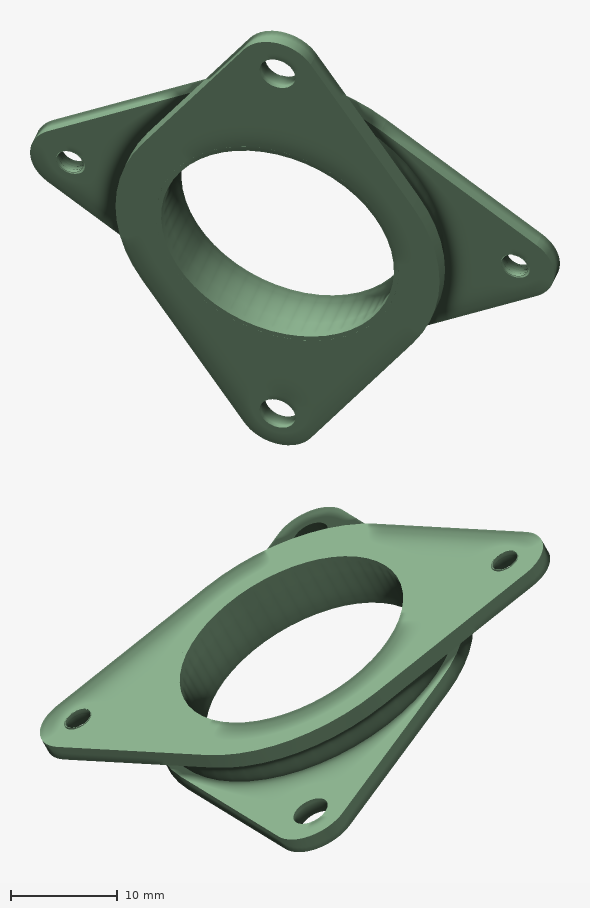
import cadquery as cq
import math

overall_span = 51.85
overall_depth = 5.9
flange_thickness = 1.6
spacer_length = overall_depth - 2 * flange_thickness
front_face_y = -overall_depth / 2
back_flange_y = overall_depth / 2 - flange_thickness

flange_disc_radius = 16.0
ear_hole_offset = 22.0
ear_radius = overall_span / 2 - ear_hole_offset

bore_diameter = 23.0
spigot_diameter = 24.0
spacer_diameter = 30.0

clearance_hole_diameter = 3.5
thread_minor_diameter = 2.7
thread_major_diameter = 3.1
thread_pitch = 0.5
thread_mouth_overlap = 0.05
thread_groove_width = 0.45
thread_start_angle = 40.0


def cylinder(diameter, start_y, length, x=0.0):
    """A cylinder along +Y that starts at start_y."""
    solid = cq.Solid.makeCylinder(
        diameter / 2, length, cq.Vector(x, start_y, 0), cq.Vector(0, 1, 0)
    )
    return cq.Workplane(obj=solid)


def flange_blank(start_y):
    """Flange with ears on the X axis and a seat for the hub spigot."""
    tangent_cos = (flange_disc_radius - ear_radius) / ear_hole_offset
    tangent_sin = math.sqrt(1 - tangent_cos**2)
    disc_x = flange_disc_radius * tangent_cos
    disc_z = flange_disc_radius * tangent_sin
    ear_x = ear_hole_offset + ear_radius * tangent_cos
    ear_z = ear_radius * tangent_sin
    tip_x = overall_span / 2

    blank = (
        cq.Workplane("XZ", origin=(0, start_y, 0))
        .moveTo(disc_x, disc_z)
        .lineTo(ear_x, ear_z)
        .threePointArc((tip_x, 0), (ear_x, -ear_z))
        .lineTo(disc_x, -disc_z)
        .threePointArc((0, -flange_disc_radius), (-disc_x, -disc_z))
        .lineTo(-ear_x, -ear_z)
        .threePointArc((-tip_x, 0), (-ear_x, ear_z))
        .lineTo(-disc_x, disc_z)
        .threePointArc((0, flange_disc_radius), (disc_x, disc_z))
        .close()
        .extrude(-flange_thickness)
    )
    return blank.cut(cylinder(spigot_diameter, start_y, flange_thickness))


def thread_groove(x, start_y):
    """Helical V groove, one pitch longer than the flange at each end."""
    mouth_radius = thread_minor_diameter / 2 - thread_mouth_overlap
    bottom_radius = thread_major_diameter / 2
    half_width = thread_groove_width / 2
    length = flange_thickness + 2 * thread_pitch
    path = cq.Wire.makeHelix(thread_pitch, length, mouth_radius)
    groove = (
        cq.Workplane("XZ")
        .polyline([(mouth_radius, -half_width), (bottom_radius, 0), (mouth_radius, half_width)])
        .close()
        .sweep(cq.Workplane(obj=path), isFrenet=True)
    )
    groove = groove.rotate((0, 0, 0), (1, 0, 0), -90)
    groove = groove.rotate((0, 0, 0), (0, 1, 0), thread_start_angle)
    return groove.translate((x, start_y - thread_pitch, 0))


def make_clearance_flange():
    """Front flange: plain holes, ears turned to point along Z."""
    flange = flange_blank(front_face_y)
    for x in (-ear_hole_offset, ear_hole_offset):
        flange = flange.cut(cylinder(clearance_hole_diameter, front_face_y, flange_thickness, x))
    return flange.rotate((0, 0, 0), (0, 1, 0), 90)


def make_threaded_flange():
    """Back flange: threaded holes, ears along X; each groove is cut before its hole is drilled."""
    flange = flange_blank(back_flange_y)
    for x in (-ear_hole_offset, ear_hole_offset):
        flange = flange.cut(thread_groove(x, back_flange_y))
        flange = flange.cut(cylinder(thread_minor_diameter, back_flange_y, flange_thickness, x))
    return flange


def make_hub():
    """Spacer drum whose thin spigots sit flush in both flanges."""
    spigots = cylinder(spigot_diameter, front_face_y, overall_depth)
    spacer = cylinder(spacer_diameter, front_face_y + flange_thickness, spacer_length)
    return spigots.union(spacer).cut(cylinder(bore_diameter, front_face_y, overall_depth))


clearance_flange = make_clearance_flange()
threaded_flange = make_threaded_flange()
hub = make_hub()

result = cq.Compound.makeCompound([clearance_flange.val(), threaded_flange.val(), hub.val()])